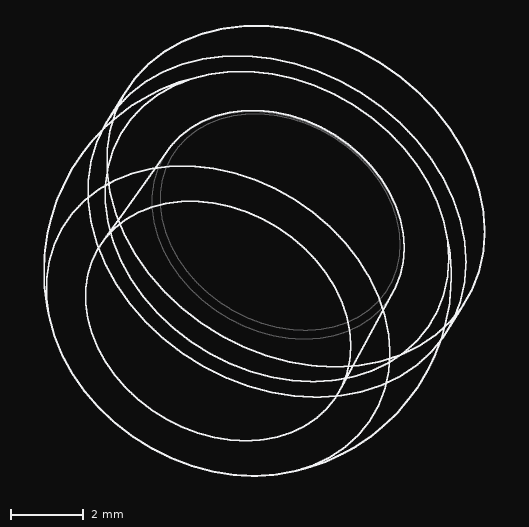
import cadquery as cq

barrel_diameter = 11.27
barrel_end_diameter = 10.0
barrel_length = 5.0
flange_diameter = 11.0
flange_thickness = 1.6
dome_height = 0.86

bore_mouth_diameter = 7.72
bore_floor_diameter = 7.33
bore_depth = 5.25
bore_floor_fillet = 0.18

barrel_end_y = -barrel_length
dome_top_y = flange_thickness + dome_height

barrel_radius = barrel_diameter / 2
barrel_end_radius = barrel_end_diameter / 2
flange_radius = flange_diameter / 2

dome_radius = (flange_radius**2 + dome_height**2) / (2 * dome_height)
dome_mid_x = flange_radius / 2
dome_mid_y = dome_top_y - dome_radius + (dome_radius**2 - dome_mid_x**2) ** 0.5


def make_body():
    """Revolve the solid outer outline about Y."""
    return (
        cq.Workplane("XY")
        .moveTo(0, barrel_end_y)
        .lineTo(barrel_end_radius, barrel_end_y)
        .threePointArc((barrel_radius, barrel_end_y / 2), (barrel_end_radius, 0))
        .lineTo(flange_radius, 0)
        .lineTo(flange_radius, flange_thickness)
        .threePointArc((dome_mid_x, dome_mid_y), (0, dome_top_y))
        .close()
        .revolve(360, (0, 0, 0), (0, 1, 0))
    )


def make_bore():
    """Revolve the tapered bore and round the edge of its floor."""
    floor_y = barrel_end_y + bore_depth
    bore = (
        cq.Workplane("XY")
        .moveTo(0, barrel_end_y)
        .lineTo(bore_mouth_diameter / 2, barrel_end_y)
        .lineTo(bore_floor_diameter / 2, floor_y)
        .lineTo(0, floor_y)
        .close()
        .revolve(360, (0, 0, 0), (0, 1, 0))
    )
    return bore.faces(">Y").edges().fillet(bore_floor_fillet)


result = make_body().cut(make_bore())